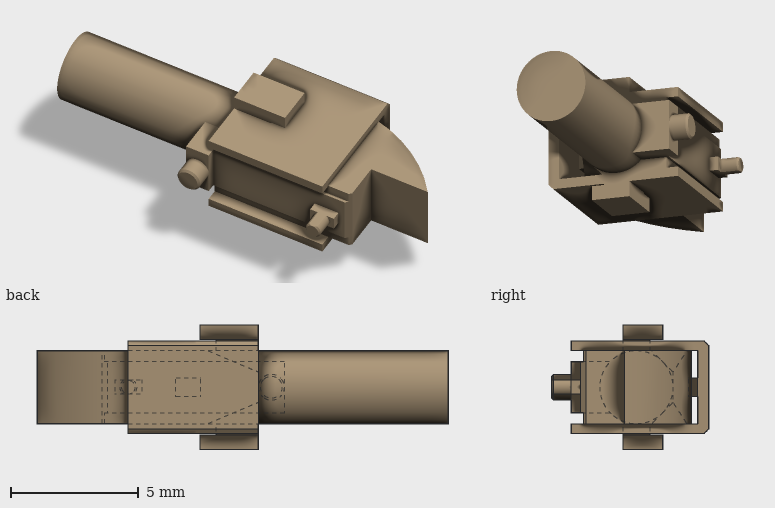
import cadquery as cq
import math


COVER_START = 7.44
COVER_LENGTH = 5.1
COVER_BACK = 2.83
COVER_FRONT = -2.56
SIDE_WALL = 0.39
BACK_WALL = 0.43
COVER_CHAMFER = 0.2

TOTAL_LENGTH = 16.1
BODY_HALF = 1.43
BODY_END = 13.55
BODY_FRONT = -2.08
BODY_BACK = 2.15
CORNER_CHAMFER = 0.16

NOSE_FLAT_Y = -0.47
ARC_PEAK_X = 10.95

TAPER_LENGTH = 2.0
TAPER_BACK = 1.98

NIB_START = 9.71
NIB_LENGTH = 0.97
NIB_WIDTH = 0.74

TAB_SPAN = 4.88
TAB_LENGTH = 2.29
TAB_FRONT = -0.53
TAB_BACK = 1.03
SLOT_BACK = 0.53
STEM_LENGTH = 1.66
TAB_GAP = 0.05

RIDGE_HEIGHT = 2.0
RIDGE_DEPTH = 0.11
PIN_TIP = -3.32
BIG_PIN_DIAMETER = 1.01
BIG_PIN_CHAMFER = 0.08
SMALL_PIN_DIAMETER = 0.66
SMALL_PIN_CHAMFER = 0.06
SMALL_PIN_X = 12.53
PAD_LENGTH = 1.06
PAD_HEIGHT = 0.55

COVER_HALF = BODY_HALF + SIDE_WALL
COVER_INNER_BACK = COVER_BACK - BACK_WALL
RIDGE_FRONT = BODY_FRONT - RIDGE_DEPTH
BOSS_START = COVER_START - BIG_PIN_DIAMETER
TAPER_END = COVER_START + TAPER_LENGTH


def box(x_range, y_range, z_range):
    """Box spanning the given (low, high) ranges."""
    (x0, x1), (y0, y1), (z0, z1) = x_range, y_range, z_range
    return cq.Workplane("XY").box(x1 - x0, y1 - y0, z1 - z0, centered=False).translate((x0, y0, z0))


def middle_box(x_range, y_range, height):
    """Box of the given height, centred on Z = 0."""
    return box(x_range, y_range, (-height / 2, height / 2))


def make_cover():
    cover_x = (COVER_START, COVER_START + COVER_LENGTH)
    shell = middle_box(cover_x, (COVER_FRONT, COVER_BACK), 2 * COVER_HALF)
    shell = shell.faces(">Y").edges("|X").chamfer(COVER_CHAMFER)
    channel = middle_box(cover_x, (COVER_FRONT, COVER_INNER_BACK), 2 * BODY_HALF)
    slot = middle_box((COVER_START, COVER_START + STEM_LENGTH), (TAB_FRONT, SLOT_BACK), 2 * COVER_HALF)
    return shell.cut(channel).cut(slot)


def make_shank():
    return cq.Workplane("YZ").circle(BODY_HALF).extrude(COVER_START)


def corner_cutter(side):
    """Tetrahedron that bevels a back corner to 45 degrees at the shank, fading out along the taper."""
    bevel_start = BODY_HALF * math.tan(math.pi / 8)
    slope = (TAPER_BACK - bevel_start) / TAPER_LENGTH
    reach = 2 * BODY_BACK
    inner_z = BODY_HALF + bevel_start - reach
    apex_x = COVER_START + (reach - bevel_start) / slope
    outer = cq.Vector(COVER_START, reach, side * BODY_HALF)
    low = cq.Vector(COVER_START, bevel_start, side * BODY_HALF)
    inner = cq.Vector(COVER_START, reach, side * inner_z)
    apex = cq.Vector(apex_x, reach, side * BODY_HALF)
    triangles = [(outer, low, inner), (outer, low, apex), (outer, inner, apex), (low, inner, apex)]
    faces = [cq.Face.makeFromWires(cq.Wire.makePolygon(corners, close=True)) for corners in triangles]
    return cq.Workplane(cq.Solid.makeSolid(cq.Shell.makeShell(faces)))


def make_body():
    """Block with the tapered back and one arc over the back and the wedge nose."""
    block = (
        cq.Workplane("XY", origin=(0, 0, -BODY_HALF))
        .moveTo(COVER_START, BODY_FRONT)
        .lineTo(COVER_START, BODY_HALF)
        .lineTo(TAPER_END, TAPER_BACK)
        .threePointArc((ARC_PEAK_X, BODY_BACK), (TOTAL_LENGTH, NOSE_FLAT_Y))
        .lineTo(BODY_END, NOSE_FLAT_Y)
        .lineTo(BODY_END, BODY_FRONT)
        .close()
        .extrude(2 * BODY_HALF)
    )
    taper_zone = middle_box((COVER_START, TAPER_END), (0, BODY_BACK), 2 * BODY_HALF)
    for side in (-1, 1):
        block = block.cut(corner_cutter(side).intersect(taper_zone))
    return block


def make_ridge():
    return middle_box((COVER_START, BODY_END), (RIDGE_FRONT, BODY_FRONT), RIDGE_HEIGHT)


def chamfer_front_corner(plunger):
    """Bevel the front end of the body and the ridge with one plane."""
    size = CORNER_CHAMFER + RIDGE_DEPTH / 2
    wedge = (
        cq.Workplane("XY", origin=(0, 0, -BODY_HALF))
        .moveTo(BODY_END, RIDGE_FRONT)
        .lineTo(BODY_END - size, RIDGE_FRONT)
        .lineTo(BODY_END, RIDGE_FRONT + size)
        .close()
        .extrude(2 * BODY_HALF)
    )
    return plunger.cut(wedge)


def make_guide_tab(side):
    """Stem through the cover slot, with a wider head outside the cover."""
    head_z = sorted((side * (COVER_HALF + TAB_GAP), side * TAB_SPAN / 2))
    stem_z = sorted((side * BODY_HALF, side * TAB_SPAN / 2))
    head = box((COVER_START, COVER_START + TAB_LENGTH), (TAB_FRONT, TAB_BACK), head_z)
    stem = box((COVER_START, COVER_START + STEM_LENGTH), (TAB_FRONT, SLOT_BACK), stem_z)
    return head.union(stem)


def make_pin(x, diameter, chamfer):
    """Round pin pointing to -Y from the front plane of the cover."""
    pin = cq.Workplane("XZ", origin=(x, COVER_FRONT, 0)).circle(diameter / 2).extrude(COVER_FRONT - PIN_TIP)
    return pin.faces("<Y").chamfer(chamfer)


def make_big_pin():
    boss = middle_box((BOSS_START, COVER_START), (COVER_FRONT, 0), RIDGE_HEIGHT)
    pin = make_pin(BOSS_START + BIG_PIN_DIAMETER / 2, BIG_PIN_DIAMETER, BIG_PIN_CHAMFER)
    return boss.union(pin)


def make_small_pin():
    """Pin with flat top and bottom on a rectangular pad."""
    pad_x = (SMALL_PIN_X - PAD_LENGTH / 2, SMALL_PIN_X + PAD_LENGTH / 2)
    pad = middle_box(pad_x, (COVER_FRONT, RIDGE_FRONT), PAD_HEIGHT)
    flats = middle_box(pad_x, (PIN_TIP, COVER_FRONT), PAD_HEIGHT)
    pin = make_pin(SMALL_PIN_X, SMALL_PIN_DIAMETER, SMALL_PIN_CHAMFER)
    return pad.union(pin.intersect(flats))


def make_nib():
    return middle_box((NIB_START, NIB_START + NIB_LENGTH), (0, COVER_INNER_BACK), NIB_WIDTH)


def make_plunger():
    plunger = chamfer_front_corner(make_body().union(make_ridge()))
    plunger = plunger.union(make_shank()).union(make_big_pin()).union(make_small_pin()).union(make_nib())
    for side in (-1, 1):
        plunger = plunger.union(make_guide_tab(side))
    return plunger


cover = make_cover()
plunger = make_plunger()

result = cq.Compound.makeCompound([cover.solids().val(), plunger.solids().val()])